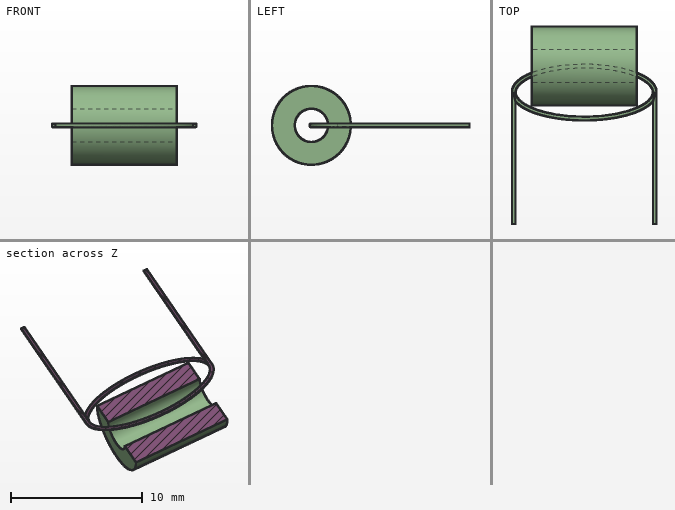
import cadquery as cq

core_length = 8.0
core_diameter = 6.0
bore_diameter = 2.5

wire_diameter = 0.3
wire_span = 11.0
overall_depth = 15.0
leg_end_y = core_diameter / 2 - overall_depth
loop_radius_x = (wire_span - wire_diameter) / 2
loop_radius_y = 2.0
loop_center = cq.Vector(0, -loop_radius_y, 0)

Z_AXIS = cq.Vector(0, 0, 1)
X_AXIS = cq.Vector(1, 0, 0)


def make_core():
    """Tube with a plain through bore."""
    return (
        cq.Workplane("YZ", origin=(-core_length / 2, 0, 0))
        .circle(core_diameter / 2)
        .circle(bore_diameter / 2)
        .extrude(core_length)
    )


def half_loop(start_angle, end_angle):
    """Half of the elliptical centre line of the loop, in the XY plane."""
    return cq.Edge.makeEllipse(
        loop_radius_x, loop_radius_y, loop_center, Z_AXIS, X_AXIS, start_angle, end_angle
    )


def sweep_wire(start_x, start_y, edges):
    """Round wire along edges that leave the start point parallel to Y."""
    path = cq.Workplane(cq.Wire.assembleEdges(edges))
    return (
        cq.Workplane("XZ", origin=(start_x, start_y, 0))
        .circle(wire_diameter / 2)
        .sweep(path)
    )


def make_lead_wire():
    """Two straight legs joined by the half loop that passes through the bore."""
    right_end = cq.Vector(loop_radius_x, leg_end_y, 0)
    right_bend = cq.Vector(loop_radius_x, loop_center.y, 0)
    left_bend = cq.Vector(-loop_radius_x, loop_center.y, 0)
    left_end = cq.Vector(-loop_radius_x, leg_end_y, 0)
    edges = [
        cq.Edge.makeLine(right_end, right_bend),
        half_loop(0, 180),
        cq.Edge.makeLine(left_bend, left_end),
    ]
    return sweep_wire(loop_radius_x, leg_end_y, edges)


def make_front_wire(lead_wire):
    """Half loop in front of the core, its ends trimmed to seat on the legs."""
    front_loop = sweep_wire(-loop_radius_x, loop_center.y, [half_loop(180, 360)])
    return front_loop.cut(lead_wire)


core = make_core()
lead_wire = make_lead_wire()
front_wire = make_front_wire(lead_wire)

result = cq.Compound.makeCompound([
    core.solids().val(),
    lead_wire.solids().val(),
    front_wire.solids().val(),
])